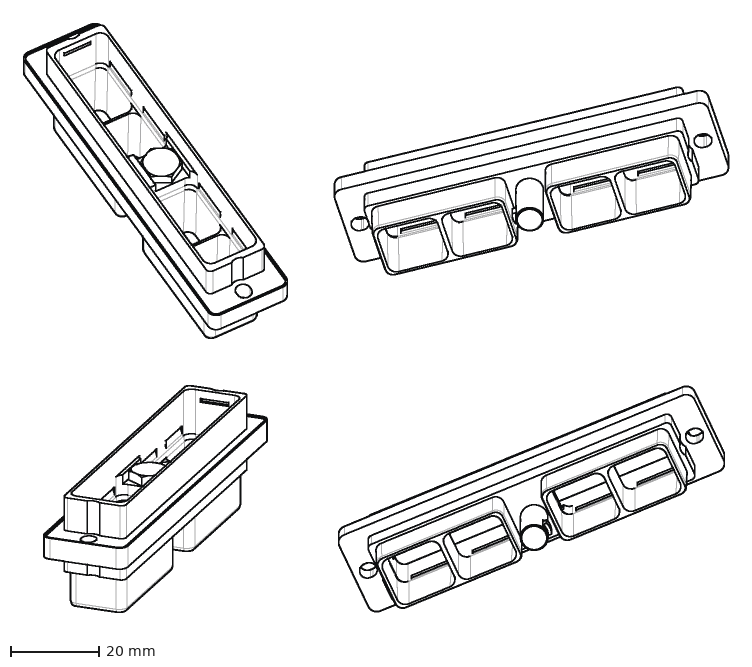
import cadquery as cq
import math


FLANGE_LENGTH = 87.9
FLANGE_WIDTH = 20.3
FLANGE_HEIGHT = 5.1
FLANGE_RADIUS = 2.1
LIP_WIDTH = 0.4
LIP_HEIGHT = 0.35
MOUNT_HOLE_X = 40.3
MOUNT_HOLE_LENGTH = 4.0
MOUNT_HOLE_WIDTH = 3.5

TOWER_LENGTH = 74.9
TOWER_WIDTH = 15.0
TOWER_RADIUS = 1.1
TOWER_TOP = 12.75
SKIRT_BOTTOM = -5.3
NOTCH_WIDTH = 3.0
NOTCH_DEPTH = 0.5

BOX_INNER_X = 4.75
BOX_OUTER_X = 36.1
BOX_WIDTH = 13.6
BOX_RADIUS = 1.9
BOX_BOTTOM = -14.0
BOX_END_DRAFT = 0.2
BOX_EDGE_INSET = 0.3
BOX_EDGE_HEIGHT = 0.9

CAVITY_INNER_X = 5.1
CAVITY_OUTER_X = 35.6
CAVITY_WIDTH = 13.5
CAVITY_RADIUS = 2.0
CAVITY_FLOOR = 1.9
FUNNEL_HEIGHT = 1.1
FUNNEL_INSET = 0.35
RIB_THICKNESS = 0.5
SHAFT_END_DRAFT = 0.3
SHAFT_SIDE_DRAFT = 0.4

BLOCK_TOP = 6.8
CHANNEL_FLOOR = 4.5
CHANNEL_WIDTH = 8.7
CHANNEL_LENGTH = 14.2

LATCH_LENGTH = 9.7
LATCH_BOTTOM = 2.7
LATCH_TOP = 4.6
LATCH_DEPTH = 0.5
END_SLOT_WIDTH = 6.85
END_SLOT_BOTTOM = 9.8
END_SLOT_HEIGHT = 0.9
END_SLOT_DEPTH = 0.9

BOLT_Y = 1.5
BOLT_BOTTOM = -17.6
STEM_DIAMETER = 6.2
STEM_CHAMFER = 0.3
HEAD_FLATS = 8.2
HEAD_TOP_DIAMETER = 8.35
HEAD_HEIGHT = 2.4
HEAD_CHAMFER_ANGLE = 30.0
KEY_CENTER_Z = -14.6
KEY_WIDTH = 2.9
PAD_HEIGHT = 3.7
PAD_REACH = 3.2
NUB_HEIGHT = 2.0
NUB_REACH = 3.95

SIDES = (-1, 1)
TOWER_HEIGHT = TOWER_TOP - SKIRT_BOTTOM
FUNNEL_FLOOR = CAVITY_FLOOR - FUNNEL_HEIGHT
CAVITY_LENGTH = CAVITY_OUTER_X - CAVITY_INNER_X
CAVITY_CENTER_X = (CAVITY_INNER_X + CAVITY_OUTER_X) / 2
FUNNEL_LENGTH = CAVITY_LENGTH - 2 * FUNNEL_INSET
SHAFT_LENGTH = (FUNNEL_LENGTH - RIB_THICKNESS) / 2
SHAFT_WIDTH = CAVITY_WIDTH - 2 * FUNNEL_INSET
SHAFT_OFFSET = (SHAFT_LENGTH + RIB_THICKNESS) / 2
WINDOW_X = [
    side * (CAVITY_CENTER_X + step * SHAFT_OFFSET) for side in SIDES for step in SIDES
]


def rounded_block(length, width, radius, bottom, top, x=0.0):
    """Upright block with rounded vertical edges, centred on (x, 0)."""
    block = cq.Workplane("XY").box(length, width, top - bottom, centered=(True, True, False))
    return block.edges("|Z").fillet(radius).translate((x, 0, bottom))


def rounded_taper(top_size, top, bottom_size, bottom, x):
    """Loft between two rounded rectangles (length, width) that share the cavity's corner radius."""
    outlines = [
        cq.Sketch().rect(*size).vertices().fillet(CAVITY_RADIUS).moved(cq.Location((x, 0, z)))
        for size, z in ((bottom_size, bottom), (top_size, top))
    ]
    return cq.Workplane("XY").placeSketch(*outlines).loft(ruled=True)


def flange():
    """Mounting flange with a thin raised lip round its upper face."""
    plate = rounded_block(FLANGE_LENGTH, FLANGE_WIDTH, FLANGE_RADIUS, 0.0, FLANGE_HEIGHT)
    recess = rounded_block(
        FLANGE_LENGTH - 2 * LIP_WIDTH,
        FLANGE_WIDTH - 2 * LIP_WIDTH,
        FLANGE_RADIUS - LIP_WIDTH,
        FLANGE_HEIGHT - LIP_HEIGHT,
        FLANGE_HEIGHT,
    )
    holes = (
        cq.Workplane("XY")
        .pushPoints([(side * MOUNT_HOLE_X, 0) for side in SIDES])
        .slot2D(MOUNT_HOLE_LENGTH, MOUNT_HOLE_WIDTH)
        .extrude(FLANGE_HEIGHT)
    )
    return plate.cut(recess).cut(holes)


def tower():
    """Tower and skirt, with a shallow round notch down the middle of each end."""
    body = rounded_block(TOWER_LENGTH, TOWER_WIDTH, TOWER_RADIUS, SKIRT_BOTTOM, TOWER_TOP)
    radius = (NOTCH_WIDTH**2 / 4 + NOTCH_DEPTH**2) / (2 * NOTCH_DEPTH)
    center_x = TOWER_LENGTH / 2 - NOTCH_DEPTH + radius
    notches = (
        cq.Workplane("XY", origin=(0, 0, SKIRT_BOTTOM))
        .pushPoints([(side * center_x, 0) for side in SIDES])
        .circle(radius)
        .extrude(TOWER_HEIGHT)
    )
    return body.cut(notches)


def lower_box(side):
    """Box below the skirt; its outer end leans in slightly towards the bottom."""
    box = (
        cq.Workplane("XZ")
        .moveTo(side * BOX_INNER_X, SKIRT_BOTTOM)
        .lineTo(side * BOX_OUTER_X, SKIRT_BOTTOM)
        .lineTo(side * (BOX_OUTER_X - BOX_END_DRAFT), BOX_BOTTOM)
        .lineTo(side * BOX_INNER_X, BOX_BOTTOM)
        .close()
        .extrude(BOX_WIDTH / 2, both=True)
    )
    box = box.edges("not(#Z or |Y)").fillet(BOX_RADIUS)
    return box.faces("<Z").chamfer(BOX_EDGE_HEIGHT, BOX_EDGE_INSET)


def upper_cavity():
    """Open space above the middle block, running the whole length of the tower."""
    return rounded_block(2 * CAVITY_OUTER_X, CAVITY_WIDTH, CAVITY_RADIUS, BLOCK_TOP, TOWER_TOP)


def side_cavity(side):
    """Deep cavity beside the middle block, ending in a steep funnel."""
    x = side * CAVITY_CENTER_X
    pocket = rounded_block(
        CAVITY_LENGTH, CAVITY_WIDTH, CAVITY_RADIUS, CAVITY_FLOOR, TOWER_TOP, x
    )
    funnel = rounded_taper(
        (CAVITY_LENGTH, CAVITY_WIDTH), CAVITY_FLOOR, (FUNNEL_LENGTH, SHAFT_WIDTH), FUNNEL_FLOOR, x
    )
    return pocket.union(funnel)


def window_shaft(x):
    """Shaft through a box, drawn in slightly towards the window at its bottom."""
    window_size = (SHAFT_LENGTH - 2 * SHAFT_END_DRAFT, SHAFT_WIDTH - 2 * SHAFT_SIDE_DRAFT)
    return rounded_taper((SHAFT_LENGTH, SHAFT_WIDTH), FUNNEL_FLOOR, window_size, BOX_BOTTOM, x)


def bolt_channel():
    """Channel across the middle block, and the hole for the bolt stem."""
    channel_height = BLOCK_TOP - CHANNEL_FLOOR
    channel = cq.Workplane("XY").box(
        CHANNEL_LENGTH, CHANNEL_WIDTH, channel_height, centered=(True, True, False)
    )
    channel = channel.translate((0, BOLT_Y, CHANNEL_FLOOR))
    hole = (
        cq.Workplane("XY", origin=(0, BOLT_Y, SKIRT_BOTTOM))
        .circle(STEM_DIAMETER / 2)
        .extrude(CHANNEL_FLOOR - SKIRT_BOTTOM)
    )
    return channel.union(hole)


def latch_recess(x, side):
    """Wedge recess in a long cavity wall, deepest at its top."""
    wall_y = side * CAVITY_WIDTH / 2
    return (
        cq.Workplane("YZ", origin=(x - LATCH_LENGTH / 2, 0, 0))
        .moveTo(wall_y, LATCH_BOTTOM)
        .lineTo(wall_y + side * LATCH_DEPTH, LATCH_TOP)
        .lineTo(wall_y, LATCH_TOP)
        .close()
        .extrude(LATCH_LENGTH)
    )


def end_slot(side):
    """Shallow slot across the end wall of the cavity."""
    slot = cq.Workplane("XY").box(
        2 * END_SLOT_DEPTH, END_SLOT_WIDTH, END_SLOT_HEIGHT, centered=(True, True, False)
    )
    return slot.translate((side * CAVITY_OUTER_X, 0, END_SLOT_BOTTOM))


def make_housing():
    """Flange, tower and boxes as one shell, with all inside space cut out."""
    body = flange().union(tower())
    for side in SIDES:
        body = body.union(lower_box(side))
    body = body.cut(upper_cavity()).cut(bolt_channel())
    for side in SIDES:
        body = body.cut(side_cavity(side)).cut(end_slot(side))
    for x in WINDOW_X:
        body = body.cut(window_shaft(x))
        for side in SIDES:
            body = body.cut(latch_recess(x, side))
    return body


def bolt_head():
    """Hexagon head with two flats facing +Y and -Y, its top corners chamfered round."""
    corner_radius = HEAD_FLATS / 2 / math.cos(math.pi / 6)
    top_radius = HEAD_TOP_DIAMETER / 2
    drop = (corner_radius - top_radius) * math.tan(math.radians(HEAD_CHAMFER_ANGLE))
    hexagon = cq.Workplane("XY").polygon(6, 2 * corner_radius).extrude(HEAD_HEIGHT)
    envelope = (
        cq.Workplane("XZ")
        .lineTo(corner_radius, 0)
        .lineTo(corner_radius, HEAD_HEIGHT - drop)
        .lineTo(top_radius, HEAD_HEIGHT)
        .lineTo(0, HEAD_HEIGHT)
        .close()
        .revolve(360, (0, 0), (0, 1))
    )
    return hexagon.intersect(envelope).translate((0, 0, CHANNEL_FLOOR))


def bolt_stem():
    """Round stem from the channel floor down, chamfered at its tip."""
    stem = (
        cq.Workplane("XY", origin=(0, 0, BOLT_BOTTOM))
        .circle(STEM_DIAMETER / 2)
        .extrude(CHANNEL_FLOOR - BOLT_BOTTOM)
    )
    return stem.faces("<Z").chamfer(STEM_CHAMFER)


def key_step(reach, height):
    """Radial bar towards +X whose outer face is concentric with the stem."""
    bar = cq.Workplane("XY").box(reach, KEY_WIDTH, height, centered=(False, True, True))
    disc = cq.Workplane("XY").circle(reach).extrude(height / 2, both=True)
    return bar.intersect(disc).translate((0, 0, KEY_CENTER_Z))


def bolt_key():
    """Tall pad barely proud of the stem, with a shorter nub standing out of it."""
    return key_step(PAD_REACH, PAD_HEIGHT).union(key_step(NUB_REACH, NUB_HEIGHT))


def make_bolt():
    """Hexagon bolt standing in the channel, its stem reaching below the boxes."""
    bolt = bolt_stem().union(bolt_head()).union(bolt_key())
    return bolt.translate((0, BOLT_Y, 0))


housing = make_housing()
bolt = make_bolt()
result = cq.Compound.makeCompound([housing.val(), bolt.val()])